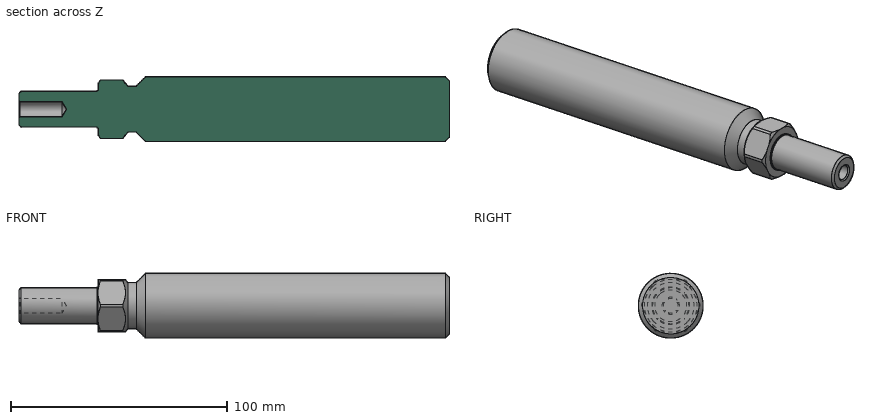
import cadquery as cq
import math

total_length = 199.0
body_radius = 15.02
body_start = 58.5
body_end_chamfer = 2.0

rod_radius = 8.4
tip_chamfer = 1.0
hole_radius = 3.4
hole_mouth_radius = 4.0
hole_depth = 19.9
drill_point_angle = 118.0

collar_radius = 8.8
collar_length = 0.5

nut_start = 36.6
nut_end = 50.3
nut_across_flats = 24.0
nut_turned_radius = 13.5
nut_front_face_radius = 12.1
nut_front_angle = 35.0
nut_rear_angle = 40.0

neck_radius = 10.7
shoulder_length = body_radius - neck_radius


def revolve_about_x(profile):
    """Turn an (axial position, radius) outline around the X axis."""
    return cq.Workplane("XY").polyline(profile).close().revolve(360, (0, 0, 0), (1, 0, 0))


def make_turned_core():
    """Rod, collar, neck, shoulder and body as one turned shape."""
    return revolve_about_x([
        (0, 0),
        (0, rod_radius - tip_chamfer),
        (tip_chamfer, rod_radius),
        (nut_start - collar_length, rod_radius),
        (nut_start - collar_length, collar_radius),
        (nut_start, collar_radius),
        (nut_start, neck_radius),
        (body_start - shoulder_length, neck_radius),
        (body_start, body_radius),
        (total_length - body_end_chamfer, body_radius),
        (total_length, body_radius - body_end_chamfer),
        (total_length, 0),
    ])


def make_nut():
    """Hexagonal prism with corners turned to a cylinder and chamfered at both ends."""
    corner_radius = nut_across_flats / 2 / math.cos(math.radians(30))
    front_run = (nut_turned_radius - nut_front_face_radius) * math.tan(math.radians(nut_front_angle))
    rear_run = (nut_turned_radius - neck_radius) * math.tan(math.radians(nut_rear_angle))
    prism = (
        cq.Workplane("YZ", origin=(nut_start, 0, 0))
        .polygon(6, 2 * corner_radius)
        .extrude(nut_end - nut_start)
    )
    envelope = revolve_about_x([
        (nut_start, 0),
        (nut_start, nut_front_face_radius),
        (nut_start + front_run, nut_turned_radius),
        (nut_end - rear_run, nut_turned_radius),
        (nut_end, neck_radius),
        (nut_end, 0),
    ])
    return prism.intersect(envelope)


def make_hole():
    """Countersunk drilled hole with a conical bottom."""
    countersink_depth = hole_mouth_radius - hole_radius
    point_length = hole_radius / math.tan(math.radians(drill_point_angle / 2))
    return revolve_about_x([
        (0, 0),
        (0, hole_mouth_radius),
        (countersink_depth, hole_radius),
        (hole_depth, hole_radius),
        (hole_depth + point_length, 0),
    ])


result = make_turned_core().union(make_nut()).cut(make_hole())